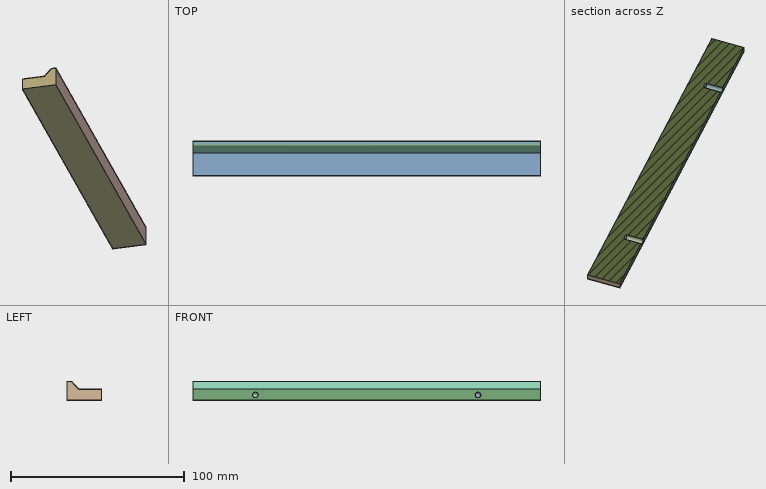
import cadquery as cq
import math

length = 200.0
width = 20.0
height = 11.0

base_height = 6.5
lip_foot_width = 6.8
lip_slope_angle = 47.0
lip_edge_radius = 1.5

hole_diameter = 3.2
hole_spacing = 128.0
hole_height = 3.2
hole_depth = 10.0
drill_point_angle = 118.0

half_width = width / 2
lip_rise = height - base_height
lip_top_width = lip_foot_width - lip_rise / math.tan(math.radians(lip_slope_angle))


def make_rail():
    """Extrude the YZ section along X, centred on the origin, and round the lip's front edge."""
    lip_edge_y = half_width - lip_top_width
    section = [
        (-half_width, 0),
        (half_width, 0),
        (half_width, height),
        (lip_edge_y, height),
        (half_width - lip_foot_width, base_height),
        (-half_width, base_height),
    ]
    rail = cq.Workplane("YZ").polyline(section).close().extrude(length / 2, both=True)
    lip_edge = cq.selectors.NearestToPointSelector((0, lip_edge_y, height))
    return rail.edges(lip_edge).fillet(lip_edge_radius)


def make_hole(x):
    """Blind hole running along +Y from the front face, ending in a conical drill point."""
    radius = hole_diameter / 2
    point_length = radius / math.tan(math.radians(drill_point_angle / 2))
    half_profile = [
        (0, 0),
        (radius, 0),
        (radius, hole_depth),
        (0, hole_depth + point_length),
    ]
    return (
        cq.Workplane("XY")
        .polyline(half_profile)
        .close()
        .revolve(360, (0, 0, 0), (0, 1, 0))
        .translate((x, -half_width, hole_height))
    )


result = make_rail()
for hole_x in (-hole_spacing / 2, hole_spacing / 2):
    result = result.cut(make_hole(hole_x))